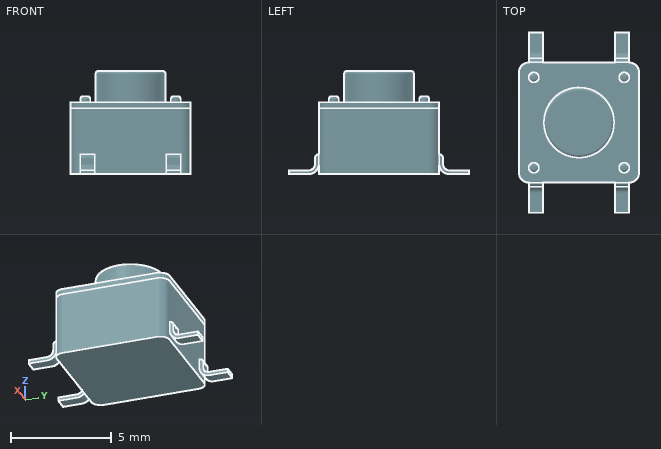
import cadquery as cq
import math

overall_length = 9.0
overall_height = 5.16

housing_width = 6.0
housing_height = 3.6
corner_radius = 0.5
cover_thickness = 0.3
base_height = housing_height - cover_thickness

button_diameter = 3.5
post_diameter = 0.5
post_height = 0.3
post_inset = 0.75
top_rounding = 0.15
button_height = overall_height - housing_height
post_spacing = housing_width - 2 * post_inset

lead_thickness = 0.2
lead_width = 0.7
lead_height = 1.0
lead_outer_bend = 0.5
lead_inner_bend = lead_outer_bend - lead_thickness
lead_inset = corner_radius
lead_reach = (overall_length - housing_width) / 2
lead_center_x = housing_width / 2 - lead_inset - lead_width / 2


def housing_slab(bottom, height):
    """Square slab with rounded vertical corners."""
    slab = cq.Workplane("XY").workplane(offset=bottom).rect(housing_width, housing_width).extrude(height)
    return slab.edges("|Z").fillet(corner_radius)


def rounded_stud(diameter, height):
    """Upright cylinder on the cover top with a rounded upper rim."""
    stud = cq.Workplane("XY").workplane(offset=housing_height).circle(diameter / 2).extrude(height)
    return stud.faces(">Z").edges().fillet(top_rounding)


def make_base():
    return housing_slab(0, base_height)


def make_cover():
    """Cover plate carrying the button and the four corner posts."""
    cover = housing_slab(base_height, cover_thickness)
    cover = cover.union(rounded_stud(button_diameter, button_height))
    post = rounded_stud(post_diameter, post_height)
    for x_side in (-1, 1):
        for y_side in (-1, 1):
            place = (x_side * post_spacing / 2, y_side * post_spacing / 2, 0)
            cover = cover.union(post.translate(place))
    return cover


def make_lead():
    """Lead on the +Y wall, centred on X = 0: a short stem on the wall bent out into a flat foot."""
    diagonal = math.sqrt(0.5)
    stem_top = lead_height - lead_thickness
    bend_y = lead_outer_bend
    bend_z = lead_outer_bend
    profile = (
        cq.Workplane("YZ", origin=(-lead_width / 2, housing_width / 2, 0))
        .moveTo(0, bend_z)
        .lineTo(0, lead_height)
        .threePointArc(
            (lead_thickness * diagonal, stem_top + lead_thickness * diagonal),
            (lead_thickness, stem_top),
        )
        .lineTo(lead_thickness, bend_z)
        .threePointArc(
            (bend_y - lead_inner_bend * diagonal, bend_z - lead_inner_bend * diagonal),
            (bend_y, lead_thickness),
        )
        .lineTo(lead_reach, lead_thickness)
        .lineTo(lead_reach, 0)
        .lineTo(bend_y, 0)
        .threePointArc(
            (bend_y - lead_outer_bend * diagonal, bend_z - lead_outer_bend * diagonal),
            (0, bend_z),
        )
        .close()
    )
    return profile.extrude(lead_width)


base = make_base()
cover = make_cover()

leads = []
for x_side in (-1, 1):
    for turn in (0, 180):
        lead = make_lead().rotate((0, 0, 0), (0, 0, 1), turn)
        leads.append(lead.translate((x_side * lead_center_x, 0, 0)).val())

result = cq.Compound.makeCompound([base.val(), cover.val(), *leads])